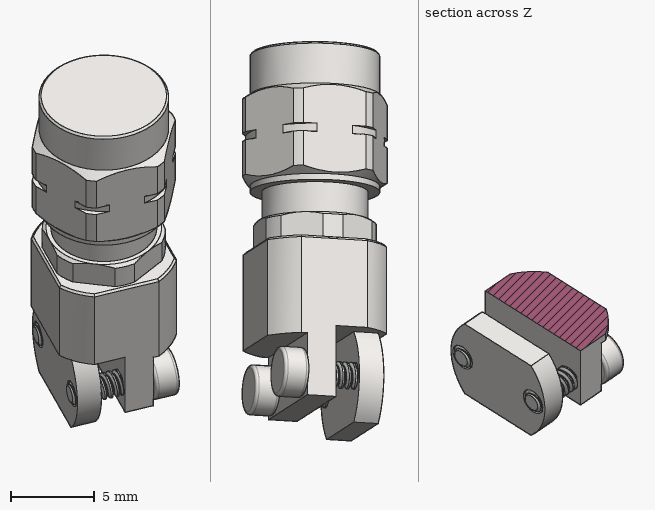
import cadquery as cq
import math

total_height = 22.86
coupling_hex_top = 20.31
coupling_hex_bottom = 14.80
collar_bottom = 14.44
lock_hex_top = 12.57
block_top = 10.98
block_front_bottom = 5.56
block_back_bottom = 5.02
lug_bottom = 1.24

barrel_diameter = 7.75
barrel_chamfer = 0.13
neck_diameter = 6.35
coupling_hex_flats = 8.0
coupling_hex_corners = 8.9
lock_hex_flats = 6.9
lock_hex_corners = 7.36
hex_chamfer_angle = 35
hex_sides = 6
coupling_hex_rotation = 0
lock_hex_rotation = 30

groove_width = 0.5
groove_diameter = 8.3

block_width = 7.9
block_depth = 7.46
block_corner_diameter = 8.9
block_chamfer = 0.13
lug_front = -0.10
lug_back = 1.69

plate_height = 5.51
plate_diameter = 7.78
plate_back = -1.58
plate_front = -3.11

screw_diameter = 1.6
screw_spacing = 5.83
screw_axis_height = 2.78
screw_tip = -3.26
tip_diameter = 1.05
head_diameter = 3.0
head_height = 1.55
head_fillet = 0.2
thread_pitch = 0.4
thread_depth = 0.2
thread_root_width = 0.06
thread_half_angle = 30
thread_overcut = 0.05
thread_start = 0.55
thread_runout = 2 * thread_pitch

screw_positions = [(side * screw_spacing / 2, screw_axis_height) for side in (-1, 1)]


def cylinder(diameter, bottom, top):
    return cq.Workplane("XY").workplane(offset=bottom).circle(diameter / 2).extrude(top - bottom)


def hexagon(flats, corners, face_diameter, bottom, top, rotation, both_ends):
    """Hexagonal prism with turned corners and a cone chamfer down to face_diameter at one or both ends."""
    prism = (
        cq.Workplane("XY")
        .workplane(offset=bottom)
        .transformed(rotate=(0, 0, rotation))
        .polygon(hex_sides, flats, circumscribed=True)
        .extrude(top - bottom)
    )
    corner_radius = corners / 2
    face_radius = face_diameter / 2
    drop = (corner_radius - face_radius) * math.tan(math.radians(hex_chamfer_angle))
    turned = cq.Workplane("XZ").moveTo(0, bottom)
    if both_ends:
        turned = turned.lineTo(face_radius, bottom).lineTo(corner_radius, bottom + drop)
    else:
        turned = turned.lineTo(corner_radius, bottom)
    turned = turned.lineTo(corner_radius, top - drop).lineTo(face_radius, top).lineTo(0, top)
    return prism.intersect(turned.close().revolve(360, (0, 0), (0, 1)))


def make_coupling():
    barrel = cylinder(barrel_diameter, collar_bottom, total_height)
    barrel = barrel.faces(">Z").chamfer(barrel_chamfer)
    nut = hexagon(
        coupling_hex_flats,
        coupling_hex_corners,
        barrel_diameter,
        coupling_hex_bottom,
        coupling_hex_top,
        coupling_hex_rotation,
        both_ends=True,
    )
    groove_bottom = (coupling_hex_bottom + coupling_hex_top - groove_width) / 2
    groove = (
        cq.Workplane("XY")
        .workplane(offset=groove_bottom)
        .circle(coupling_hex_corners)
        .circle(groove_diameter / 2)
        .extrude(groove_width)
    )
    return barrel.union(nut.cut(groove))


def make_lock_hex():
    return hexagon(
        lock_hex_flats,
        lock_hex_corners,
        lock_hex_flats,
        block_top,
        lock_hex_top,
        lock_hex_rotation,
        both_ends=False,
    )


def make_block():
    block = cq.Workplane("XY").box(
        block_width, block_depth, block_top - lug_bottom, centered=(True, True, False)
    )
    block = block.translate((0, 0, lug_bottom))
    block = block.intersect(cylinder(block_corner_diameter, lug_bottom, block_top))
    block = block.faces(">Z").chamfer(block_chamfer)
    front_clearance = cq.Workplane("XY").box(
        block_width, block_depth, block_front_bottom, centered=(True, False, False)
    )
    back_clearance = cq.Workplane("XY").box(
        block_width, block_depth, block_back_bottom, centered=(True, False, False)
    )
    block = block.cut(front_clearance.translate((0, lug_front - block_depth, 0)))
    return block.cut(back_clearance.translate((0, lug_back, 0)))


def screw_holes(back, front):
    return (
        cq.Workplane("XZ", origin=(0, back, 0))
        .pushPoints(screw_positions)
        .circle(screw_diameter / 2)
        .extrude(back - front)
    )


def make_connector():
    neck = cylinder(neck_diameter, lock_hex_top, collar_bottom)
    connector = make_block().union(make_lock_hex()).union(neck).union(make_coupling())
    return connector.cut(screw_holes(lug_back, lug_front))


def make_plate():
    plate_radius = plate_diameter / 2
    half_height = plate_height / 2
    half_flat = math.sqrt(plate_radius**2 - half_height**2)
    plate = (
        cq.Workplane("XZ", origin=(0, plate_back, 0))
        .moveTo(-half_flat, 0)
        .lineTo(half_flat, 0)
        .threePointArc((plate_radius, half_height), (half_flat, plate_height))
        .lineTo(-half_flat, plate_height)
        .threePointArc((-plate_radius, half_height), (-half_flat, 0))
        .close()
        .extrude(plate_back - plate_front)
    )
    return plate.cut(screw_holes(plate_back, plate_front))


def make_thread_groove():
    """Right-hand helical groove about the local Z axis, starting at Z = 0."""
    crest_radius = screw_diameter / 2
    root_radius = crest_radius - thread_depth
    outer_radius = crest_radius + thread_overcut
    root_half = thread_root_width / 2
    flank_slope = math.tan(math.radians(thread_half_angle))
    outer_half = root_half + (outer_radius - root_radius) * flank_slope
    length = thread_start - screw_tip + thread_runout
    helix = cq.Wire.makeHelix(thread_pitch, length, crest_radius)
    return (
        cq.Workplane("XZ")
        .moveTo(root_radius, -root_half)
        .lineTo(outer_radius, -outer_half)
        .lineTo(outer_radius, outer_half)
        .lineTo(root_radius, root_half)
        .close()
        .sweep(cq.Workplane(helix), isFrenet=True)
    )


def make_screw():
    """Cap screw with its head on the back of the lug and its axis along Y."""
    head = (
        cq.Workplane("XZ", origin=(0, lug_back + head_height, 0))
        .circle(head_diameter / 2)
        .extrude(head_height)
        .edges()
        .fillet(head_fillet)
    )
    shank = (
        cq.Workplane("XZ", origin=(0, lug_back, 0))
        .circle(screw_diameter / 2)
        .extrude(lug_back - screw_tip)
        .faces("<Y")
        .chamfer((screw_diameter - tip_diameter) / 2)
    )
    shank = shank.rotate((0, 0, 0), (0, 1, 0), 180)
    groove = make_thread_groove().rotate((0, 0, 0), (1, 0, 0), 90).translate((0, thread_start, 0))
    return shank.cut(groove).union(head)


connector = make_connector()
clamp_plate = make_plate()
screw = make_screw()
screws = [screw.translate((x, 0, z)) for x, z in screw_positions]

result = cq.Compound.makeCompound(
    [connector.val(), clamp_plate.val(), *[placed.val() for placed in screws]]
)